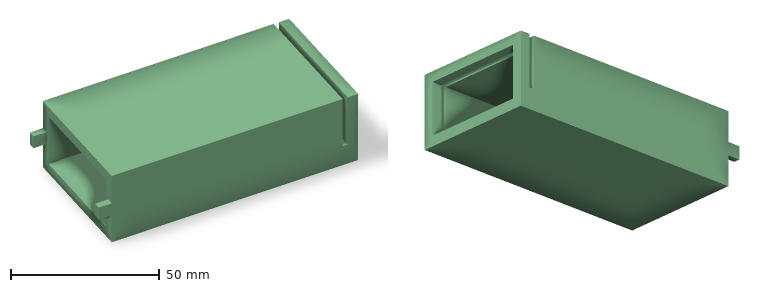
import cadquery as cq

width = 48.0
total_length = 100.0
height = 28.0
wall = 4.0

tab_length = 5.0
tab_width = 2.5
tab_height = 5.0

slot_width = 2.0
slot_depth = 20.0
back_frame_thickness = 4.0

body_length = total_length - tab_length


def box(size_x, size_y, size_z, center_x, front_y, bottom_z):
    """Box centred on center_x, starting at front_y and bottom_z."""
    block = cq.Workplane("XY").box(size_x, size_y, size_z, centered=(True, False, False))
    return block.translate((center_x, front_y, bottom_z))


sleeve = box(width, body_length, height, 0, 0, 0)
opening = box(width - 2 * wall, body_length, height - 2 * wall, 0, 0, wall)
result = sleeve.cut(opening)

slot_front = body_length - back_frame_thickness - slot_width
slot = box(width, slot_width, slot_depth, 0, slot_front, height - slot_depth)
result = result.cut(slot)

tab_offset = (width - tab_width) / 2
tab_bottom = (height - tab_height) / 2
for side in (-1, 1):
    tab = box(tab_width, tab_length, tab_height, side * tab_offset, -tab_length, tab_bottom)
    result = result.union(tab)